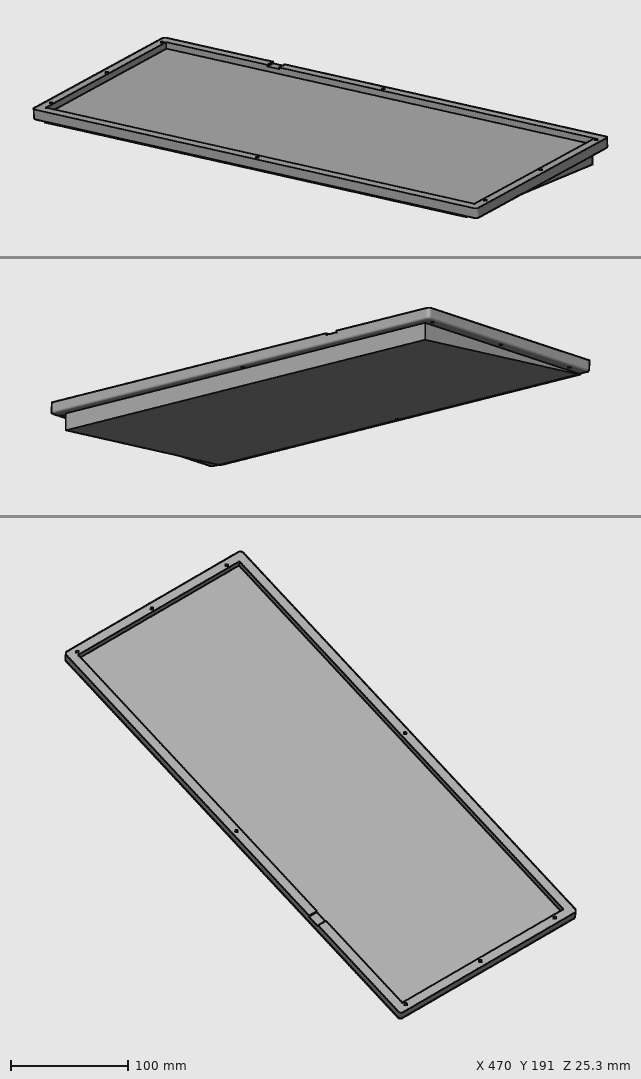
import math

import cadquery as cq

TILT = 4.5
TRAY_WIDTH = 470.0
TRAY_DEPTH = 190.95
TRAY_THICKNESS = 9.9
CORNER_RADIUS = 3.0
BOTTOM_FILLET = 2.0
OVERALL_HEIGHT = 25.32

RIM_WIDTH = 8.5
POCKET_DEPTH = 6.0

NOTCH_WIDTH = 12.5
NOTCH_DEPTH = 1.5
NOTCH_X = -113.5

HOLE_DIAMETER = 2.5
SIDE_HOLE_INSET = 5.5
SIDE_HOLE_PITCH = 80.5
SIDE_HOLE_OFFSET = 5.0
END_HOLE_INSET = 4.5

FOOT_SIDE_INSET = 12.0
FOOT_BACK_INSET = 7.5
FOOT_FRONT_INSET = 1.0

tilt = math.radians(TILT)
half_depth = TRAY_DEPTH / 2
top_centre_height = OVERALL_HEIGHT - half_depth * math.sin(tilt)


def make_tray():
    """Flat tray with its top face on Z = 0, before it is tilted."""
    tray = cq.Workplane("XY").box(TRAY_WIDTH, TRAY_DEPTH, TRAY_THICKNESS, centered=(True, True, False))
    tray = tray.translate((0, 0, -TRAY_THICKNESS))
    tray = tray.edges("|Z").fillet(CORNER_RADIUS)
    return tray.faces("<Z").edges().fillet(BOTTOM_FILLET)


def make_pocket():
    return (
        cq.Workplane("XY")
        .rect(TRAY_WIDTH - 2 * RIM_WIDTH, TRAY_DEPTH - 2 * RIM_WIDTH)
        .extrude(-POCKET_DEPTH)
    )


def make_notch():
    return (
        cq.Workplane("XY")
        .center(NOTCH_X, half_depth - RIM_WIDTH / 2)
        .rect(NOTCH_WIDTH, RIM_WIDTH)
        .extrude(-NOTCH_DEPTH)
    )


def make_holes():
    """Three screw holes along each short side and one in the middle of each long side.

    They are longer than the tray is thick, so they pass right through.
    """
    side_x = TRAY_WIDTH / 2 - SIDE_HOLE_INSET
    end_y = half_depth - END_HOLE_INSET
    points = [(0, end_y), (0, -end_y)]
    for x in (-side_x, side_x):
        for step in (-1, 0, 1):
            points.append((x, SIDE_HOLE_OFFSET + step * SIDE_HOLE_PITCH))
    return cq.Workplane("XY").pushPoints(points).circle(HOLE_DIAMETER / 2).extrude(-OVERALL_HEIGHT)


def place(shape):
    """Tilt a shape about the X axis and lift it to its height above the ground."""
    return shape.rotate((0, 0, 0), (1, 0, 0), TILT).translate((0, 0, top_centre_height))


def underside_point(across):
    """World (Y, Z) of the point on the tray's underside at the given distance from its middle."""
    y = across * math.cos(tilt) + TRAY_THICKNESS * math.sin(tilt)
    z = across * math.sin(tilt) - TRAY_THICKNESS * math.cos(tilt) + top_centre_height
    return y, z


def make_foot():
    """Wedge with a level base and a vertical back that fills the space below the tilted tray."""
    front_y, front_z = underside_point(-half_depth + FOOT_FRONT_INSET)
    back_y, back_z = underside_point(half_depth - FOOT_BACK_INSET)
    profile = cq.Workplane("YZ").polyline([(front_y, front_z), (back_y, back_z), (back_y, 0), (front_y, 0)])
    return profile.close().extrude(TRAY_WIDTH / 2 - FOOT_SIDE_INSET, both=True)


tray = make_tray().cut(make_pocket()).cut(make_notch())
result = place(tray).union(make_foot()).cut(place(make_holes()))